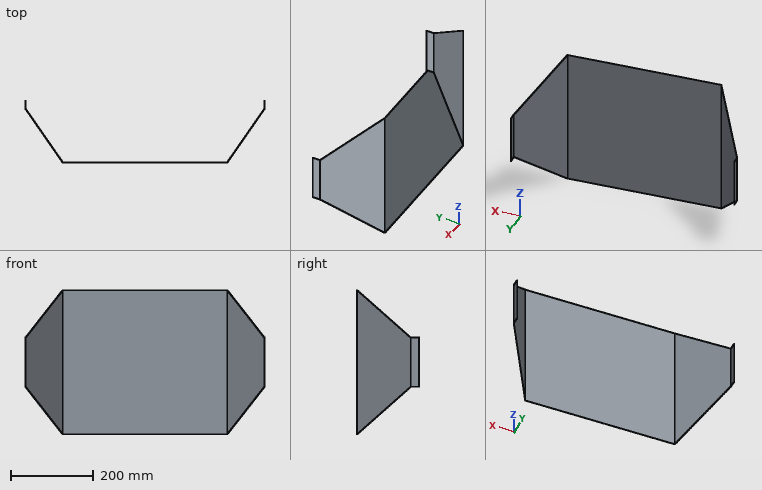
import cadquery as cq
import math

overall_width = 581.0
overall_depth = 151.0
panel_width = 399.5
panel_height = 350.0
flange_height = 120.0
flange_depth = 20.5
sheet = 0.8

half_width = overall_width / 2
half_panel = panel_width / 2
front_y = -overall_depth / 2
back_y = overall_depth / 2
bend_y = back_y - flange_depth

wing_angle = math.atan2(bend_y - front_y, half_width - half_panel)
panel_inset = sheet * math.tan(wing_angle / 2)
flange_inset = sheet * math.tan((math.pi / 2 - wing_angle) / 2)


def bent_sheet():
    """Constant-thickness bent strip, extruded to the full panel height."""
    outer = [(half_panel, front_y), (half_width, bend_y), (half_width, back_y)]
    inner = [
        (half_width - sheet, back_y),
        (half_width - sheet, bend_y + flange_inset),
        (half_panel - panel_inset, front_y + sheet),
    ]
    right_side = outer + inner
    left_side = [(-x, y) for x, y in reversed(right_side)]
    return (
        cq.Workplane("XY")
        .polyline(right_side + left_side)
        .close()
        .extrude(panel_height / 2, both=True)
    )


def side_outline():
    """Full-width block whose height tapers from the panel to the flanges."""
    upper = [
        (front_y, panel_height / 2),
        (front_y + sheet, panel_height / 2),
        (bend_y, flange_height / 2),
        (back_y, flange_height / 2),
    ]
    lower = [(y, -z) for y, z in reversed(upper)]
    return (
        cq.Workplane("YZ")
        .polyline(upper + lower)
        .close()
        .extrude(half_width, both=True)
    )


result = bent_sheet().intersect(side_outline())